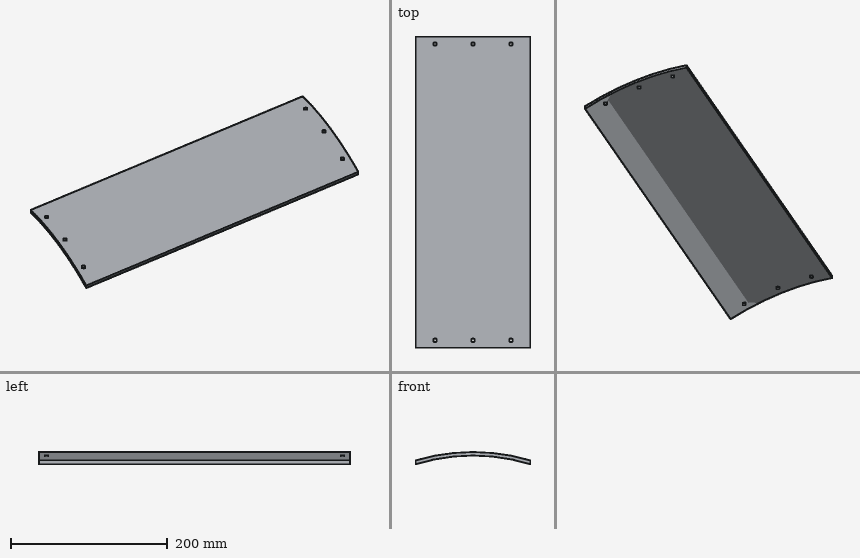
import cadquery as cq

width = 146.5
length = 397.0
height = 16.0

crown_thickness = 4.8
edge_thickness = 5.0

hole_diameter = 4.5
hole_spacing = 48.5
hole_end_distance = 9.5


def arched_panel():
    """Sheet bounded by two nearly concentric arcs and vertical sides."""
    half_width = width / 2
    return (
        cq.Workplane("XZ")
        .moveTo(-half_width, 0)
        .threePointArc((0, height - crown_thickness), (half_width, 0))
        .lineTo(half_width, edge_thickness)
        .threePointArc((0, height), (-half_width, edge_thickness))
        .close()
        .extrude(length / 2, both=True)
    )


def fixing_holes():
    """Vertical cylinders for both rows of holes."""
    row_y = length / 2 - hole_end_distance
    columns = (-hole_spacing, 0, hole_spacing)
    centers = [(x, y) for x in columns for y in (-row_y, row_y)]
    return cq.Workplane("XY").pushPoints(centers).circle(hole_diameter / 2).extrude(height)


result = arched_panel().cut(fixing_holes())